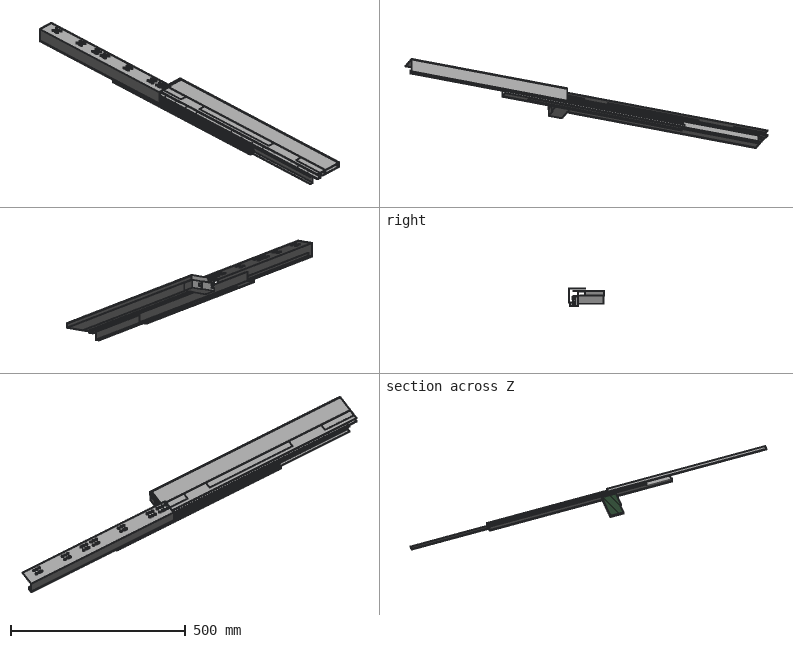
import cadquery as cq

SHEET = 1.7

CABINET_LENGTH = 480.0
CABINET_TOP_Z = 52.0
CABINET_BOTTOM_Z = 11.0
CABINET_FLANGE_WIDTH = 47.0
HOOK_WIDTH = 13.0
HOOK_TOP_Z = 21.0

HOLE_DIAMETER = 5.0
HOLE_PITCH = 9.0
BACK_ROW_Y = 36.0
FRONT_ROW_Y = 23.0
SLOT_LENGTH = 13.0
SLOT_OFFSET = 1.5 * HOLE_PITCH
SLOTTED_GROUP_STARTS = [32.0, 128.0, 191.0, 224.0, 317.0]
ROUND_GROUP_START = 414.0
END_GROUP_START = 447.0

INTERMEDIATE_START = 290.0
INTERMEDIATE_END = 845.0
INTERMEDIATE_FRONT_Y = 3.0
INTERMEDIATE_BACK_Y = 28.0
INTERMEDIATE_LIP_HEIGHT = 8.0

CARRIAGE_START = 367.0
CARRIAGE_END = 1079.0
CARRIAGE_FRONT_Y = 10.0
CARRIAGE_BACK_Y = 21.0
CARRIAGE_BOTTOM_Z = SHEET
CARRIAGE_TOP_Z = 28.0

DRAWER_START = 464.0
DRAWER_END = 1105.0
DRAWER_FRONT_Y = 13.0
DRAWER_BACK_Y = 103.0
DRAWER_BOX_Y = 46.0
DRAWER_BOTTOM_FRONT_Y = 33.0
DRAWER_BOTTOM_Z = 31.0
DRAWER_TOP_Z = 45.0
DRAWER_END_WALL = 5.0

RUNNER_BACK_Y = INTERMEDIATE_BACK_Y
TAB_RANGES = [(DRAWER_START, 543.0), (617.0, 897.0), (1006.0, DRAWER_END)]

BRACKET_START = 461.0
BRACKET_LENGTH = 44.0
BRACKET_STEP = DRAWER_START - BRACKET_START
BRACKET_STEP_Y = 70.0
BRACKET_BACK_Y = 100.0
BRACKET_BOTTOM_Z = 8.0

POCKET_DEPTH = 5.0
CATCH_POCKET_Y = (BRACKET_STEP_Y, 77.0)
CATCH_POCKET_Z = (17.0, 24.0)
SIDE_POCKET_Y = (RUNNER_BACK_Y, 36.0)
SIDE_POCKET_Z = (17.0, 25.0)

CAGE_START = CARRIAGE_START
CAGE_END = INTERMEDIATE_END
CAGE_FRONT_Y = 11.0
LOWER_CAGE_TOP_Z = INTERMEDIATE_LIP_HEIGHT
CAGE_GUIDE_TOP_Z = 14.0


def box(x_range, y_range, z_range):
    """A box between the given limits along each axis."""
    size = [high - low for low, high in (x_range, y_range, z_range)]
    corner = (x_range[0], y_range[0], z_range[0])
    return cq.Workplane("XY").box(*size, centered=False).translate(corner)


def profile(points, start, end):
    """A (Y, Z) outline extruded along X."""
    return cq.Workplane("YZ").workplane(offset=start).polyline(points).close().extrude(end - start)


def cut_round_holes(rail, group_start, row_y, steps):
    """Round holes at whole pitch steps from the start of a group."""
    points = [(group_start + step * HOLE_PITCH, row_y) for step in steps]
    plane = cq.Workplane("XY").workplane(offset=CABINET_TOP_Z)
    return rail.cut(plane.pushPoints(points).circle(HOLE_DIAMETER / 2).extrude(-SHEET))


def cut_slot(rail, group_start):
    """The slot in the front row of a group."""
    plane = cq.Workplane("XY").workplane(offset=CABINET_TOP_Z)
    slot = plane.center(group_start + SLOT_OFFSET, FRONT_ROW_Y).slot2D(SLOT_LENGTH, HOLE_DIAMETER)
    return rail.cut(slot.extrude(-SHEET))


def make_cabinet_rail():
    """Angle with a wide top flange, an outer wall and an upturned hook at the bottom."""
    outline = [
        (0, CABINET_BOTTOM_Z),
        (HOOK_WIDTH, CABINET_BOTTOM_Z),
        (HOOK_WIDTH, HOOK_TOP_Z),
        (HOOK_WIDTH - SHEET, HOOK_TOP_Z),
        (HOOK_WIDTH - SHEET, CABINET_BOTTOM_Z + SHEET),
        (SHEET, CABINET_BOTTOM_Z + SHEET),
        (SHEET, CABINET_TOP_Z - SHEET),
        (CABINET_FLANGE_WIDTH, CABINET_TOP_Z - SHEET),
        (CABINET_FLANGE_WIDTH, CABINET_TOP_Z),
        (0, CABINET_TOP_Z),
    ]
    rail = profile(outline, 0, CABINET_LENGTH)
    for start in SLOTTED_GROUP_STARTS:
        rail = cut_round_holes(rail, start, BACK_ROW_Y, [0, 1, 2])
        rail = cut_round_holes(rail, start, FRONT_ROW_Y, [0])
        rail = cut_slot(rail, start)
    for row_y in (BACK_ROW_Y, FRONT_ROW_Y):
        rail = cut_round_holes(rail, ROUND_GROUP_START, row_y, [0, 1, 2])
    rail = cut_round_holes(rail, END_GROUP_START, BACK_ROW_Y, [0, 1, 2, 3])
    rail = cut_round_holes(rail, END_GROUP_START, FRONT_ROW_Y, [0, 3])
    return cut_slot(rail, END_GROUP_START)


def make_intermediate_rail():
    """Front lip, bottom flange under the carriage, and a web behind it."""
    lip_back_y = INTERMEDIATE_FRONT_Y + SHEET
    web_front_y = INTERMEDIATE_BACK_Y - SHEET
    outline = [
        (INTERMEDIATE_FRONT_Y, 0),
        (INTERMEDIATE_BACK_Y, 0),
        (INTERMEDIATE_BACK_Y, CARRIAGE_TOP_Z),
        (web_front_y, CARRIAGE_TOP_Z),
        (web_front_y, SHEET),
        (lip_back_y, SHEET),
        (lip_back_y, INTERMEDIATE_LIP_HEIGHT),
        (INTERMEDIATE_FRONT_Y, INTERMEDIATE_LIP_HEIGHT),
    ]
    return profile(outline, INTERMEDIATE_START, INTERMEDIATE_END)


def make_carriage():
    """C channel resting on the bottom flange of the intermediate rail."""
    x_range = (CARRIAGE_START, CARRIAGE_END)
    inside_y = (CARRIAGE_FRONT_Y, CARRIAGE_BACK_Y - SHEET)
    inside_z = (CARRIAGE_BOTTOM_Z + SHEET, CARRIAGE_TOP_Z - SHEET)
    outside_z = (CARRIAGE_BOTTOM_Z, CARRIAGE_TOP_Z)
    channel = box(x_range, (CARRIAGE_FRONT_Y, CARRIAGE_BACK_Y), outside_z)
    return channel.cut(box(x_range, inside_y, inside_z))


def make_drawer_rail():
    """Box section closed at its front end, with top and bottom flanges past its inner wall."""
    x_range = (DRAWER_START, DRAWER_END)
    z_range = (DRAWER_BOTTOM_Z, DRAWER_TOP_Z)
    inside_y = (DRAWER_BOX_Y + SHEET, DRAWER_BACK_Y - SHEET)
    inside_z = (DRAWER_BOTTOM_Z + SHEET, DRAWER_TOP_Z - SHEET)
    section = box(x_range, (DRAWER_BOX_Y, DRAWER_BACK_Y), z_range)
    section = section.cut(box((DRAWER_START + DRAWER_END_WALL, DRAWER_END), inside_y, inside_z))
    top_flange = box(x_range, (DRAWER_FRONT_Y, DRAWER_BOX_Y), (DRAWER_TOP_Z - SHEET, DRAWER_TOP_Z))
    bottom_z = (DRAWER_BOTTOM_Z, DRAWER_BOTTOM_Z + SHEET)
    bottom_flange = box(x_range, (DRAWER_BOTTOM_FRONT_Y, DRAWER_BOX_Y), bottom_z)
    return section.union(top_flange).union(bottom_flange)


def make_runner():
    """Flat bar on the carriage, with tabs that rise to the drawer rail's top flange."""
    x_range = (DRAWER_START, DRAWER_END)
    wall_y = (RUNNER_BACK_Y - SHEET, RUNNER_BACK_Y)
    tab_top_z = DRAWER_TOP_Z - SHEET
    runner = box(x_range, (DRAWER_FRONT_Y, RUNNER_BACK_Y), (CARRIAGE_TOP_Z, DRAWER_BOTTOM_Z))
    for tab_range in TAB_RANGES:
        wall = box(tab_range, wall_y, (CARRIAGE_TOP_Z, tab_top_z))
        ledge = box(tab_range, (wall_y[0], DRAWER_BOX_Y), (tab_top_z - SHEET, tab_top_z))
        runner = runner.union(wall).union(ledge)
    return runner


def make_front_bracket():
    """Block under the drawer rail, stepped in plan, with two pockets in its front end."""
    z_range = (BRACKET_BOTTOM_Z, DRAWER_BOTTOM_Z)
    x_range = (BRACKET_START, BRACKET_START + BRACKET_LENGTH)
    bracket = box(x_range, (RUNNER_BACK_Y, BRACKET_BACK_Y), z_range)
    step_x = (BRACKET_START, BRACKET_START + BRACKET_STEP)
    bracket = bracket.cut(box(step_x, (BRACKET_STEP_Y, BRACKET_BACK_Y), z_range))
    pocket_x = (BRACKET_START, BRACKET_START + POCKET_DEPTH)
    bracket = bracket.cut(box(pocket_x, CATCH_POCKET_Y, CATCH_POCKET_Z))
    return bracket.cut(box(pocket_x, SIDE_POCKET_Y, SIDE_POCKET_Z))


def make_upper_cage():
    """Strip filling the gap between the hook and the carriage's top flange."""
    y_range = (CAGE_FRONT_Y, CARRIAGE_BACK_Y - SHEET)
    return box((CAGE_START, CAGE_END), y_range, (HOOK_TOP_Z, CARRIAGE_TOP_Z - SHEET))


def make_lower_cage():
    """Strip on the carriage's bottom flange, with a thin guide rising behind the hook."""
    x_range = (CAGE_START, CAGE_END)
    y_range = (CAGE_FRONT_Y, CARRIAGE_BACK_Y - SHEET)
    bottom_z = CARRIAGE_BOTTOM_Z + SHEET
    strip = box(x_range, y_range, (bottom_z, LOWER_CAGE_TOP_Z))
    return strip.union(box(x_range, (HOOK_WIDTH, HOOK_WIDTH + SHEET), (bottom_z, CAGE_GUIDE_TOP_Z)))


cabinet_rail = make_cabinet_rail()
intermediate_rail = make_intermediate_rail()
carriage = make_carriage()
drawer_rail = make_drawer_rail()
runner = make_runner()
front_bracket = make_front_bracket()
upper_cage = make_upper_cage()
lower_cage = make_lower_cage()

result = cq.Compound.makeCompound(
    [
        cabinet_rail.val(),
        intermediate_rail.val(),
        carriage.val(),
        drawer_rail.val(),
        runner.val(),
        front_bracket.val(),
        upper_cage.val(),
        lower_cage.val(),
    ]
)